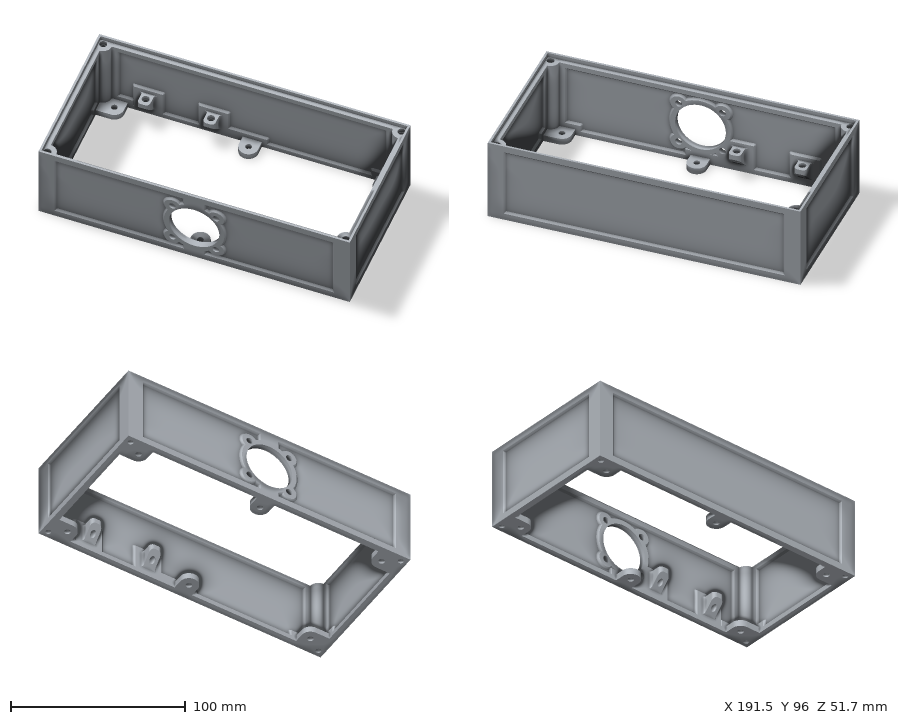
import cadquery as cq

length = 191.5
width = 96.0
height = 51.7
wall = 4.0
embed = 0.5
rim_wall = 1.3
lid_depth = 2.9

half_length = length / 2
half_width = width / 2
inner_half_length = half_length - wall
inner_half_width = half_width - wall
ledge_z = height - lid_depth

bevel = 1.25
bevel_angle = 45
pocket_side = 9.8
pocket_end = 4.2
land = 3.0

post_inset = 4.0
post_radius = 5.4
screw_radius = 1.7
screw_bore_radius = 2.3
screw_bore_depth = 2.9

lug_radius = 6.0
lug_height = 4.0
lug_hole_radius = 2.0
lug_inset_x = 13.2
lug_inset_y = 10.0

standoff_x = (31.8 - half_length, 72.0 - half_length)
standoff_top = 17.0
standoff_width = 7.5
standoff_reach = 12.8
standoff_hole_inset = 8.2
standoff_corner = 2.5
standoff_base_z = 5.0
standoff_root_fillet = 1.5
standoff_pad_half = 8.8
standoff_pad_top = 19.7

fan_z = 24.9
fan_radius = 15.5
fan_ring_radius = 18.5
fan_screw_offset = 13.5
fan_screw_radius = 2.1
fan_boss_radius = 5.0
fan_rib = 12.5


def bevelled_panel(plane, offset, u_min, u_max, z_min, z_max, angle):
    """Rectangle extruded by the pocket depth; a negative angle widens it."""
    return (
        cq.Workplane(plane)
        .workplane(offset=offset)
        .center((u_min + u_max) / 2, (z_min + z_max) / 2)
        .rect(u_max - u_min, z_max - z_min)
        .extrude(bevel, taper=angle)
    )


def pocket(plane, offset, u_half, z_min, z_max):
    return bevelled_panel(plane, offset, -u_half, u_half, z_min, z_max, bevel_angle)


def island(plane, offset, u_min, u_max, z_max):
    """Full-thickness area that rises from the bottom edge of a pocket."""
    return bevelled_panel(plane, offset, u_min, u_max, -land, z_max, -bevel_angle)


def fan_island(offset):
    """Ring and four screw bosses left at full wall thickness."""
    base = cq.Workplane("XZ").workplane(offset=offset).center(0, fan_z)
    ring = base.circle(fan_ring_radius).extrude(bevel, taper=-bevel_angle)
    for u, v in fan_screw_points:
        boss = base.center(u, v).circle(fan_boss_radius).extrude(bevel, taper=-bevel_angle)
        ring = ring.union(boss)
    return ring


def mirror_pair(shape, plane):
    return shape.union(shape.mirror(plane))


def plug(points, radius, z_min, z_max):
    """Vertical cylinders at the given points."""
    return (
        cq.Workplane("XY")
        .workplane(offset=z_min)
        .pushPoints(points)
        .circle(radius)
        .extrude(z_max - z_min)
    )


def block(x_min, x_max, y_min, y_max, z_min, z_max):
    size = (x_max - x_min, y_max - y_min, z_max - z_min)
    return cq.Workplane("XY").box(*size, centered=False).translate((x_min, y_min, z_min))


fan_screw_points = [(sx * fan_screw_offset, sz * fan_screw_offset) for sx in (-1, 1) for sz in (-1, 1)]
post_points = [
    (sx * (half_length - post_inset), sy * (half_width - post_inset)) for sx in (-1, 1) for sy in (-1, 1)
]
lug_x = half_length - lug_inset_x
lug_y = half_width - lug_inset_y

frame = cq.Workplane("XY").rect(length, width).extrude(height)
opening = cq.Workplane("XY").rect(2 * inner_half_length, 2 * inner_half_width).extrude(height)
frame = frame.cut(opening)

outer_top = height - pocket_end
end_pocket = pocket("YZ", -half_length, half_width - pocket_side, pocket_end, outer_top)
frame = frame.cut(mirror_pair(end_pocket, "YZ"))

back_pocket = pocket("XZ", -half_width, half_length - pocket_side, pocket_end, outer_top)
fan_ribs = bevelled_panel("XZ", -half_width, -fan_rib / 2, fan_rib / 2, 0, height, -bevel_angle)
front_pocket = back_pocket.cut(fan_ribs).cut(fan_island(-half_width)).mirror("XZ")
frame = frame.cut(back_pocket).cut(front_pocket)

inner_top = ledge_z - land
inner_bottom = land
inner_side = pocket_side + land
lug_land_top = lug_height + land
lug_land = lug_radius + land

inner_end = pocket("YZ", inner_half_length, half_width - inner_side, inner_bottom, inner_top)
corner_land = island("YZ", inner_half_length, lug_y - lug_land, half_width, lug_land_top)
inner_end = inner_end.cut(mirror_pair(corner_land, "XZ"))
frame = frame.cut(mirror_pair(inner_end, "YZ"))

inner_front = pocket("XZ", inner_half_width, half_length - inner_side, inner_bottom, inner_top)
corner_land = island("XZ", inner_half_width, lug_x - lug_land, half_length, lug_land_top)
inner_front = inner_front.cut(mirror_pair(corner_land, "YZ"))
middle_land_start = standoff_x[-1]
inner_front = inner_front.cut(island("XZ", inner_half_width, middle_land_start, lug_land, lug_land_top))
for x in standoff_x:
    pad = island("XZ", inner_half_width, x - standoff_pad_half, x + standoff_pad_half, standoff_pad_top)
    inner_front = inner_front.cut(pad)
inner_back = inner_front.mirror("XZ")
frame = frame.cut(inner_back).cut(inner_front.cut(fan_island(inner_half_width)))

outline = block(-half_length, half_length, -half_width, half_width, 0, height)
frame = frame.union(plug(post_points, post_radius, 0, height).intersect(outline))


def middle_lug():
    stem = block(-lug_radius, lug_radius, lug_y, inner_half_width + embed, 0, lug_height)
    return stem.union(plug([(0, lug_y)], lug_radius, 0, lug_height))


def corner_lug():
    lug = block(
        lug_x - lug_radius, inner_half_length + embed,
        lug_y - lug_radius, inner_half_width + embed,
        0, lug_height,
    )
    return lug.edges("|Z and <X and <Y").fillet(lug_radius)


frame = frame.union(mirror_pair(middle_lug(), "XZ"))
frame = frame.union(mirror_pair(mirror_pair(corner_lug(), "YZ"), "XZ"))


def standoff(x):
    half = standoff_width / 2
    tip_y = half_width - standoff_reach
    foot = half + standoff_root_fillet
    root_y = inner_half_width - standoff_root_fillet
    plan = (
        cq.Workplane("XY")
        .moveTo(-foot, inner_half_width)
        .radiusArc((-half, root_y), standoff_root_fillet)
        .lineTo(-half, tip_y + standoff_corner)
        .radiusArc((-half + standoff_corner, tip_y), -standoff_corner)
        .lineTo(half - standoff_corner, tip_y)
        .radiusArc((half, tip_y + standoff_corner), -standoff_corner)
        .lineTo(half, root_y)
        .radiusArc((foot, inner_half_width), standoff_root_fillet)
        .lineTo(foot, inner_half_width + embed)
        .lineTo(-foot, inner_half_width + embed)
        .close()
        .extrude(standoff_top)
    )
    run = inner_half_width - tip_y
    below = (
        cq.Workplane("YZ")
        .moveTo(inner_half_width + bevel, 0)
        .lineTo(inner_half_width + bevel, standoff_base_z)
        .lineTo(inner_half_width, standoff_base_z)
        .lineTo(tip_y, standoff_base_z + run)
        .lineTo(tip_y, 0)
        .close()
        .extrude(standoff_width, both=True)
    )
    return plan.cut(below).translate((x, 0, 0))


for x in standoff_x:
    frame = frame.union(mirror_pair(standoff(x), "XZ"))

lid = block(
    rim_wall - half_length, half_length - rim_wall,
    rim_wall - half_width, half_width - rim_wall,
    ledge_z, height,
)
frame = frame.cut(lid)

frame = frame.cut(plug(post_points, screw_radius, 0, height))
frame = frame.cut(plug(post_points, screw_bore_radius, ledge_z - screw_bore_depth, ledge_z))

lug_points = [(x, sy * lug_y) for x in (-lug_x, 0, lug_x) for sy in (-1, 1)]
frame = frame.cut(plug(lug_points, lug_hole_radius, 0, lug_height))

standoff_hole_y = half_width - standoff_hole_inset
standoff_points = [(x, sy * standoff_hole_y) for x in standoff_x for sy in (-1, 1)]
frame = frame.cut(plug(standoff_points, screw_radius, 0, standoff_top))
frame = frame.cut(plug(standoff_points, screw_bore_radius, standoff_top - screw_bore_depth, standoff_top))

fan_face = cq.Workplane("XZ").workplane(offset=inner_half_width).center(0, fan_z)
frame = frame.cut(fan_face.circle(fan_radius).extrude(wall))
frame = frame.cut(fan_face.pushPoints(fan_screw_points).circle(fan_screw_radius).extrude(wall))

result = frame